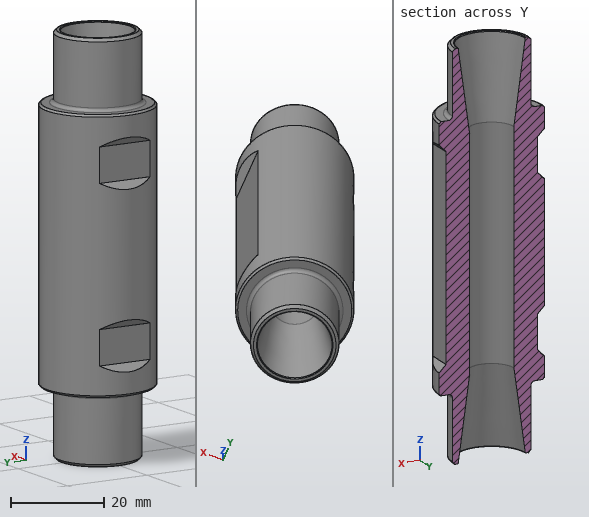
import cadquery as cq

length = 94.0
body_diameter = 25.4
neck_diameter = 19.0
neck_length = 16.0
body_chamfer = 0.5
neck_chamfer = 0.7
neck_fillet = 0.8

bore_diameter = 10.5
mouth_diameter = 16.0
mouth_depth = 19.7
lip_chamfer = 0.2

flat_depth = 1.7
flat_height = 8.0
flat_spacing = 40.0

body_length = length - 2 * neck_length
body_radius = body_diameter / 2
neck_radius = neck_diameter / 2
long_flat_height = flat_spacing + flat_height


def make_turned_body():
    body = cq.Workplane("XY", origin=(0, 0, -body_length / 2)).circle(body_radius).extrude(body_length)
    body = body.faces("<Z or >Z").edges().chamfer(body_chamfer)
    neck = cq.Workplane("XY", origin=(0, 0, -length / 2)).circle(neck_radius).extrude(length)
    neck = neck.faces("<Z or >Z").edges().chamfer(neck_chamfer)
    return body.union(neck)


def make_root_fillet():
    """Concave ring blending the upper neck into the body shoulder."""
    shoulder = body_length / 2
    arc_offset = neck_fillet * (1 - 0.5**0.5)
    return (
        cq.Workplane("XZ")
        .moveTo(0, shoulder)
        .lineTo(neck_radius + neck_fillet, shoulder)
        .threePointArc(
            (neck_radius + arc_offset, shoulder + arc_offset),
            (neck_radius, shoulder + neck_fillet),
        )
        .lineTo(0, shoulder + neck_fillet)
        .close()
        .revolve(360, (0, 0), (0, 1))
    )


def make_bore():
    bore_radius = bore_diameter / 2
    mouth_radius = mouth_diameter / 2
    end = length / 2
    lip_radius = mouth_radius + lip_chamfer
    lip_bottom = end - lip_chamfer
    taper_end = end - mouth_depth
    return (
        cq.Workplane("XZ")
        .moveTo(0, -end)
        .lineTo(lip_radius, -end)
        .lineTo(mouth_radius, -lip_bottom)
        .lineTo(bore_radius, -taper_end)
        .lineTo(bore_radius, taper_end)
        .lineTo(mouth_radius, lip_bottom)
        .lineTo(lip_radius, end)
        .lineTo(0, end)
        .close()
        .revolve(360, (0, 0), (0, 1))
    )


def make_flat_cutter(side, center_z, height):
    """Cutter for a flat facing +X (side = 1) or -X (side = -1)."""
    floor_x = side * (body_radius - flat_depth)
    outer_x = side * (body_radius + flat_depth)
    half_floor = height / 2
    half_opening = half_floor + 2 * flat_depth
    return (
        cq.Workplane("XZ")
        .moveTo(floor_x, center_z - half_floor)
        .lineTo(outer_x, center_z - half_opening)
        .lineTo(outer_x, center_z + half_opening)
        .lineTo(floor_x, center_z + half_floor)
        .close()
        .extrude(body_radius, both=True)
    )


result = make_turned_body()
root_fillet = make_root_fillet()
result = result.union(root_fillet).union(root_fillet.mirror("XY"))
result = result.cut(make_bore())

for flat_z in (-flat_spacing / 2, flat_spacing / 2):
    result = result.cut(make_flat_cutter(-1, flat_z, flat_height))
result = result.cut(make_flat_cutter(1, 0, long_flat_height))